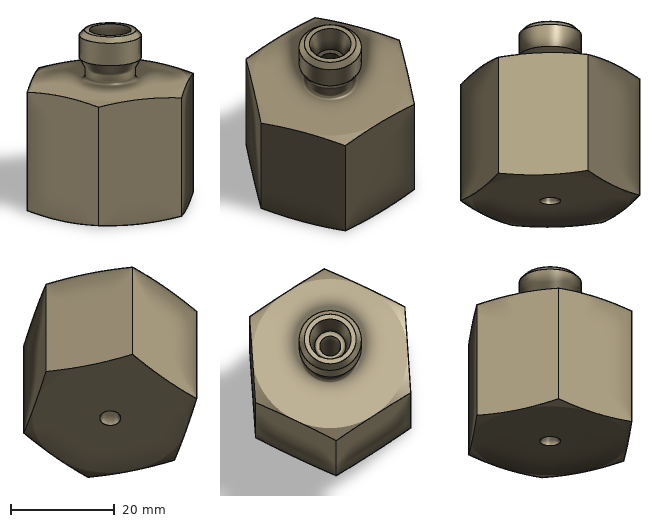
import cadquery as cq
import math

total_height = 35.0
across_flats = 30.0
across_corners = across_flats / math.cos(math.radians(30))

body_height = 25.0
corner_chamfer_angle = 15.0

head_diameter = 12.0
neck_diameter = 9.7
head_length = 5.5
taper_angle = 30.0
head_chamfer = 1.0
neck_fillet = 1.0

through_diameter = 4.0
seat_diameter = 6.0
mouth_diameter = 8.0
seat_cone_half_angle = 12.0


def make_body():
    """Hexagonal prism with corners on the Y axis and turned-off corners."""
    prism = (
        cq.Workplane("XY")
        .polygon(6, across_corners)
        .extrude(body_height)
        .rotate((0, 0, 0), (0, 0, 1), 30)
    )
    flat_radius = across_flats / 2
    corner_radius = across_corners / 2
    corner_drop = (corner_radius - flat_radius) * math.tan(math.radians(corner_chamfer_angle))
    envelope = (
        cq.Workplane("XZ")
        .moveTo(0, 0)
        .lineTo(flat_radius, 0)
        .lineTo(corner_radius, corner_drop)
        .lineTo(corner_radius, body_height - corner_drop)
        .lineTo(flat_radius, body_height)
        .lineTo(0, body_height)
        .close()
        .revolve(360, (0, 0, 0), (0, 1, 0))
    )
    return prism.intersect(envelope)


def make_spigot():
    """Turned spigot: neck filleted at both ends, tapered underside and chamfered head."""
    head_radius = head_diameter / 2
    neck_radius = neck_diameter / 2
    taper_top = total_height - head_length
    taper_bottom = taper_top - (head_radius - neck_radius) / math.tan(math.radians(taper_angle))
    fillet_mid = neck_fillet * (1 - math.sqrt(0.5))
    taper = math.radians(taper_angle)
    blend_center_radius = neck_radius + neck_fillet
    blend_start = taper_bottom - neck_fillet * math.tan(taper / 2)

    def blend_point(angle):
        return (
            blend_center_radius - neck_fillet * math.cos(angle),
            blend_start + neck_fillet * math.sin(angle),
        )

    root = body_height / 2
    return (
        cq.Workplane("XZ")
        .moveTo(0, root)
        .lineTo(neck_radius + neck_fillet, root)
        .lineTo(neck_radius + neck_fillet, body_height)
        .threePointArc(
            (neck_radius + fillet_mid, body_height + fillet_mid),
            (neck_radius, body_height + neck_fillet),
        )
        .lineTo(neck_radius, blend_start)
        .threePointArc(blend_point(taper / 2), blend_point(taper))
        .lineTo(head_radius, taper_top)
        .lineTo(head_radius, total_height - head_chamfer)
        .lineTo(head_radius - head_chamfer, total_height)
        .lineTo(0, total_height)
        .close()
        .revolve(360, (0, 0, 0), (0, 1, 0))
    )


def make_bore():
    """Through hole that opens into a conical seat at the top."""
    through_radius = through_diameter / 2
    seat_radius = seat_diameter / 2
    mouth_radius = mouth_diameter / 2
    cone_depth = (mouth_radius - seat_radius) / math.tan(math.radians(seat_cone_half_angle))
    seat_level = total_height - cone_depth
    return (
        cq.Workplane("XZ")
        .moveTo(0, 0)
        .lineTo(through_radius, 0)
        .lineTo(through_radius, seat_level)
        .lineTo(seat_radius, seat_level)
        .lineTo(mouth_radius, total_height)
        .lineTo(0, total_height)
        .close()
        .revolve(360, (0, 0, 0), (0, 1, 0))
    )


result = make_body().union(make_spigot()).cut(make_bore())